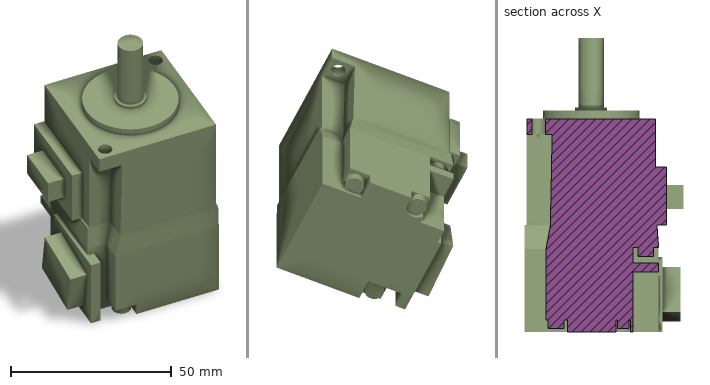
import cadquery as cq


total_height = 91.4
collar_top = 69.8
pilot_top = 68.9
flange_top = 66.45
flange_bottom = 61.4
shoulder_top = 33.3
shoulder_bottom = 25.8

shaft_diameter = 7.95
collar_diameter = 10.0
pilot_diameter = 30.0

flange_width = 40.0
base_width = 41.2
base_left = -20.75
base_right = base_left + base_width
base_back = 20.75
base_front = -21.0
total_depth = 49.5
shoulder_front = -20.5

flange_hole_diameter = 4.5
flange_hole_offset = 16.3
notch_reach = 27.4
notch_side = 12.3
notch_depth_top = 12.25
notch_depth_shoulder = 12.8
back_notch_base = (-14.35, 14.2)
front_notch_base = (13.5, -14.7)

corner_x = -13.4
corner_y = -13.1
joint_pocket_top = 26.3
joint_pocket_floor = 21.7
joint_head_diameter = 5.85
joint_head_height = 2.8
joint_screw_offset = 16.9
recess_top = 18.6

foot_pocket_height = 3.8
foot_head_diameter = 6.0
foot_head_height = 2.7
side_screw = (16.8, 11.0)
side_pocket_edge = 7.5
corner_screw = (-17.6, -10.0)
corner_pocket_wall_x = -15.4
corner_pocket_radius = 3.2

upper_plate_x = (-20.5, 7.2)
upper_plate_top = 51.5
upper_plate_front = -23.4
upper_plug_x = (-14.1, 1.2)
upper_plug_z = (38.2, 45.7)
upper_plug_front = base_back - total_depth

lower_plate_x = (-8.8, 18.55)
lower_plate_top = 23.4
lower_plate_front = -22.2
lower_plate_back = -18.9
lower_plug_width = 19.0
lower_plug_height = 14.1
lower_plug_centre = (4.9, 11.8)
lower_plug_tilt = 9.0
lower_plug_front = -27.8


def block(x_range, y_range, z_range):
    """Axis-aligned box between pairs of limits given in any order."""
    size = [abs(b - a) for a, b in (x_range, y_range, z_range)]
    low = [min(limits) for limits in (x_range, y_range, z_range)]
    return cq.Workplane("XY").box(*size, centered=False).translate(tuple(low))


def disc(diameter, bottom, top, centre=(0, 0)):
    """Upright cylinder between two heights."""
    return (
        cq.Workplane("XY", origin=(*centre, bottom))
        .circle(diameter / 2)
        .extrude(top - bottom)
    )


def rectangle_wire(corner, opposite, z):
    """Closed horizontal rectangle through two opposite corners."""
    (x0, y0), (x1, y1) = corner, opposite
    points = [(x0, y0, z), (x1, y0, z), (x1, y1, z), (x0, y1, z)]
    return cq.Wire.makePolygon([cq.Vector(*p) for p in points], close=True)


def tapered_block(bottom_wire, top_wire):
    """Straight-sided solid between two horizontal rectangles."""
    return cq.Workplane(cq.Solid.makeLoft([bottom_wire, top_wire], True))


def housing():
    """Gearbox, sloping shoulder with a ledge at front and back, and motor base."""
    half_flange = flange_width / 2
    flange_span = (-half_flange, half_flange)
    gearbox = block(flange_span, flange_span, (shoulder_top, flange_top))
    shoulder = tapered_block(
        rectangle_wire((base_left, base_front), (base_right, base_back), shoulder_bottom),
        rectangle_wire((-half_flange, shoulder_front), (half_flange, base_back), shoulder_top),
    )
    base = block((base_left, base_right), (base_front, base_back), (0, shoulder_bottom))
    return gearbox.union(shoulder).union(base)


def output_end():
    """Pilot, collar and shaft."""
    pilot = disc(pilot_diameter, flange_top, pilot_top)
    collar = disc(collar_diameter, pilot_top, collar_top)
    shaft = disc(shaft_diameter, collar_top, total_height)
    return pilot.union(collar).union(shaft)


def corner_notch(side_sign, base_corner):
    """Corner cut from the flange to the base, stepping outwards along the shoulder."""
    outer = (side_sign * notch_reach, -side_sign * notch_reach)
    top_corner = (side_sign * notch_side, -side_sign * notch_depth_top)
    shoulder_corner = (side_sign * notch_side, -side_sign * notch_depth_shoulder)
    shoulder_wire = rectangle_wire(shoulder_corner, outer, shoulder_top)
    base_wire = rectangle_wire(base_corner, outer, shoulder_bottom)
    upper = tapered_block(shoulder_wire, rectangle_wire(top_corner, outer, flange_bottom))
    middle = tapered_block(base_wire, shoulder_wire)
    lower = block((base_corner[0], outer[0]), (base_corner[1], outer[1]), (0, shoulder_bottom))
    return upper.union(middle).union(lower)


def joint_screw_pocket():
    """Open corner pocket with the recess below it."""
    x_range = (-notch_reach, corner_x)
    y_range = (-notch_reach, corner_y)
    pocket = block(x_range, y_range, (joint_pocket_floor, joint_pocket_top))
    recess = block(x_range, y_range, (0, recess_top))
    return pocket.union(recess)


def corner_foot_pocket():
    """Pocket rounded about its screw, opening to the left side and to the corner recess."""
    screw_x, screw_y = corner_screw
    height = (0, foot_pocket_height)
    round_end = disc(2 * corner_pocket_radius, *height, corner_screw)
    to_side = block((-notch_reach, screw_x), (corner_y, screw_y + corner_pocket_radius), height)
    to_recess = block((screw_x, corner_pocket_wall_x), (corner_y, screw_y), height)
    return round_end.union(to_side).union(to_recess)


def side_foot_pocket(side_sign, base_corner):
    """Pocket running from a corner notch along the side of the base."""
    return block(
        (side_sign * notch_reach, base_corner[0]),
        (-side_sign * side_pocket_edge, base_corner[1]),
        (0, foot_pocket_height),
    )


def foot_head(centre):
    """Screw head hanging from the roof of a base pocket."""
    return disc(foot_head_diameter, foot_pocket_height - foot_head_height, foot_pocket_height, centre)


def upper_terminal():
    """Plate and plug on the front of the gearbox."""
    plate = block(upper_plate_x, (upper_plate_front, -flange_width / 2), (shoulder_top, upper_plate_top))
    plug = block(upper_plug_x, (upper_plug_front, upper_plate_front), upper_plug_z)
    return plate.union(plug)


def lower_terminal():
    """Plate and tilted plug on the front of the base."""
    plate = block(lower_plate_x, (lower_plate_front, lower_plate_back), (0, lower_plate_top))
    plug = (
        cq.Workplane("XZ", origin=(0, lower_plate_front, 0))
        .center(*lower_plug_centre)
        .transformed(rotate=(0, 0, -lower_plug_tilt))
        .rect(lower_plug_width, lower_plug_height)
        .extrude(lower_plate_front - lower_plug_front)
    )
    return plate.union(plug)


result = housing()

for side_sign, base_corner in ((-1, back_notch_base), (1, front_notch_base)):
    hole_centre = (side_sign * flange_hole_offset, -side_sign * flange_hole_offset)
    screw_centre = (side_sign * side_screw[0], -side_sign * side_screw[1])
    result = (
        result.cut(corner_notch(side_sign, base_corner))
        .cut(disc(flange_hole_diameter, flange_bottom, flange_top, hole_centre))
        .cut(side_foot_pocket(side_sign, base_corner))
        .union(foot_head(screw_centre))
    )

joint_head = disc(
    joint_head_diameter,
    joint_pocket_top - joint_head_height,
    joint_pocket_top,
    (-joint_screw_offset, -joint_screw_offset),
)
result = (
    result.cut(joint_screw_pocket())
    .union(joint_head)
    .cut(corner_foot_pocket())
    .union(foot_head(corner_screw))
    .union(output_end())
    .union(upper_terminal())
    .union(lower_terminal())
)